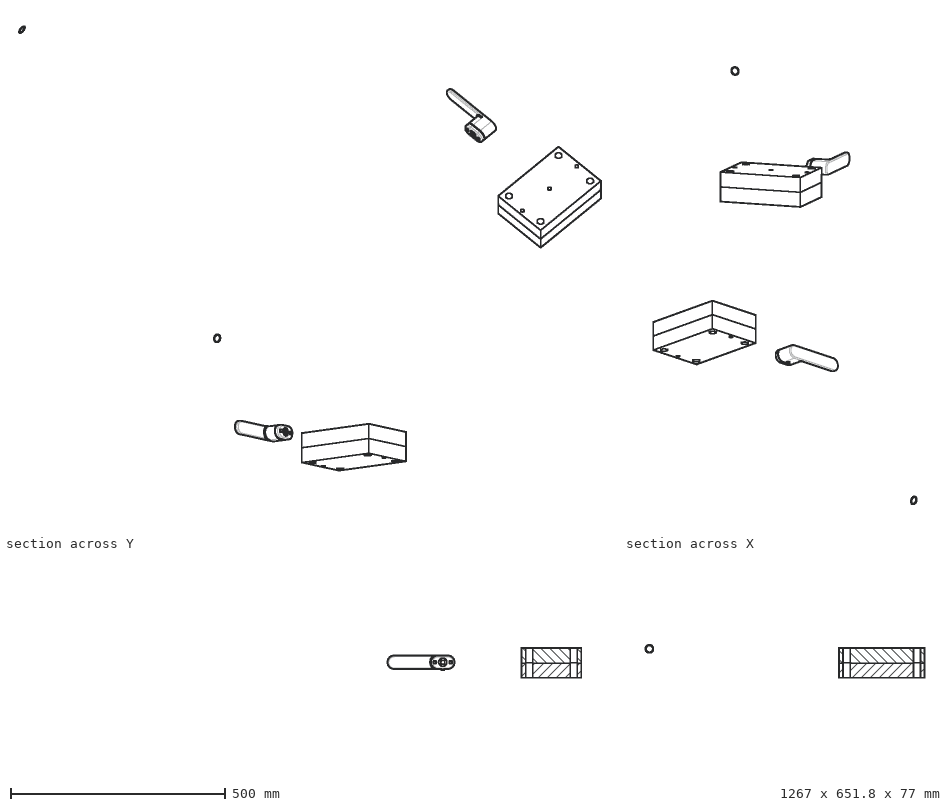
import cadquery as cq


BLOCK_X = 140.0
BLOCK_Y = 200.0
BLOCK_HALF_HEIGHT = 35.0
MOUNT_HOLE_DIAMETER = 16.0
MOUNT_HOLE_INSET = 18.0
DOWEL_HOLE_DIAMETER = 8.0
DOWEL_HOLE_INSET = 10.0
CENTRE_BORE_DIAMETER = 8.0
CENTRE_BORE_DEPTH = 10.0
CENTRE_HOLE_DIAMETER = 4.52

HUB_RADIUS = 16.0
HUB_ARC_SPACING = 23.0
HUB_CENTRE_X = -253.5
HANDLE_Z = 36.3
LEVER_LENGTH = 157.0
LEVER_THICKNESS = 9.0
LEVER_BACK_Y = 52.3
LEVER_EDGE_ROUND = 2.6
HUB_FRONT_Y = 13.0
FOOT_FLARE = 2.5
FOOT_TAPER_ANGLE = 45.0

GASKET_THICKNESS = 1.5
COVER_THICKNESS = 9.5
COVER_EDGE_ROUND = 3.0
SPINDLE_DIAMETER = 19.0
SPINDLE_BORE_DIAMETER = 10.0
SPINDLE_BORE_DEPTH = 5.0
SCREW_HEAD_DIAMETER = 7.54
SCREW_HEAD_HEIGHT = 3.0
SCREW_SHANK_DIAMETER = 4.52
SCREW_SPACING = 37.0

SET_SCREW_DIAMETER = 7.54
SET_SCREW_Y = 18.3
SET_SCREW_DEPTH = 6.0
SET_SCREW_PROTRUSION = 2.5

RING_OUTER_DIAMETER = 19.0
RING_INNER_DIAMETER = 15.88
RING_THICKNESS = 1.0
OVERALL_X = 1266.96
OVERALL_Y = 651.81
OVERALL_Z = 77.0

HUB_LENGTH = HUB_ARC_SPACING + 2 * HUB_RADIUS
LEVER_CENTRE_DX = (HUB_LENGTH - LEVER_LENGTH) / 2
LEVER_FRONT_Y = LEVER_BACK_Y - LEVER_THICKNESS
GASKET_FRONT_Y = HUB_FRONT_Y - GASKET_THICKNESS
COVER_FRONT_Y = GASKET_FRONT_Y - COVER_THICKNESS
STACK_DEPTH = GASKET_THICKNESS + COVER_THICKNESS


def front_plane(y, dx=0.0):
    """Workplane facing -Y at depth y, centred dx to the right of the hub's middle."""
    return cq.Workplane("XZ", origin=(HUB_CENTRE_X + dx, y, HANDLE_Z))


def rod(front_y, depth, diameter, dx=0.0):
    """Cylinder along Y running back from front_y."""
    return front_plane(front_y, dx).circle(diameter / 2).extrude(-depth)


def hub_slab(front_y, depth):
    """Slab with the hub's obround outline running back from front_y."""
    return front_plane(front_y).slot2D(HUB_LENGTH, 2 * HUB_RADIUS).extrude(-depth)


def lever_slab(front_y, depth):
    """Slab with the lever's obround outline running back from front_y."""
    return front_plane(front_y, LEVER_CENTRE_DX).slot2D(LEVER_LENGTH, 2 * HUB_RADIUS).extrude(-depth)


def make_block_half(bottom_z):
    half = cq.Workplane("XY").box(BLOCK_X, BLOCK_Y, BLOCK_HALF_HEIGHT, centered=(True, True, False))
    mount_x = BLOCK_X - 2 * MOUNT_HOLE_INSET
    mount_y = BLOCK_Y - 2 * MOUNT_HOLE_INSET
    half = (
        half.faces(">Z").workplane()
        .rect(mount_x, mount_y, forConstruction=True).vertices()
        .hole(MOUNT_HOLE_DIAMETER)
    )
    dowel_spacing = BLOCK_Y - 2 * DOWEL_HOLE_INSET
    half = half.faces(">Z").workplane().rarray(1, dowel_spacing, 1, 2).hole(DOWEL_HOLE_DIAMETER)
    return half.translate((0, 0, bottom_z))


def make_upper_block():
    half = make_block_half(BLOCK_HALF_HEIGHT)
    return half.faces(">Z").workplane().cboreHole(
        CENTRE_HOLE_DIAMETER, CENTRE_BORE_DIAMETER, CENTRE_BORE_DEPTH
    )


def make_handle():
    lever = lever_slab(LEVER_FRONT_Y, LEVER_THICKNESS)
    lever = lever.faces("<Y or >Y").edges().fillet(LEVER_EDGE_ROUND)
    hub = hub_slab(HUB_FRONT_Y, LEVER_BACK_Y - LEVER_EDGE_ROUND - HUB_FRONT_Y)
    foot = (
        front_plane(LEVER_FRONT_Y)
        .slot2D(HUB_LENGTH + 2 * FOOT_FLARE, 2 * (HUB_RADIUS + FOOT_FLARE))
        .extrude(FOOT_FLARE, taper=FOOT_TAPER_ANGLE)
        .intersect(lever_slab(LEVER_FRONT_Y - FOOT_FLARE, FOOT_FLARE))
    )
    return lever.union(hub).union(foot)


def make_cover():
    return hub_slab(COVER_FRONT_Y, COVER_THICKNESS).faces("<Y").edges().fillet(COVER_EDGE_ROUND)


def make_spindle():
    """Round plug flush with the cover, with a blind bore in its front."""
    plug = rod(COVER_FRONT_Y, STACK_DEPTH, SPINDLE_DIAMETER)
    return plug.cut(rod(COVER_FRONT_Y, SPINDLE_BORE_DEPTH, SPINDLE_BORE_DIAMETER))


def make_cover_screw(dx):
    head = rod(COVER_FRONT_Y - SCREW_HEAD_HEIGHT, SCREW_HEAD_HEIGHT, SCREW_HEAD_DIAMETER, dx)
    return head.union(rod(COVER_FRONT_Y, STACK_DEPTH, SCREW_SHANK_DIAMETER, dx))


def make_set_screw():
    bottom_z = HANDLE_Z - HUB_RADIUS - SET_SCREW_PROTRUSION
    plane = cq.Workplane("XY", origin=(HUB_CENTRE_X, SET_SCREW_Y, bottom_z))
    return plane.circle(SET_SCREW_DIAMETER / 2).extrude(SET_SCREW_PROTRUSION + SET_SCREW_DEPTH)


def make_ring():
    outer_radius = RING_OUTER_DIAMETER / 2
    left_x = BLOCK_X / 2 - OVERALL_X
    centre_y = BLOCK_Y / 2 - OVERALL_Y + outer_radius
    plane = cq.Workplane("YZ", origin=(left_x, centre_y, OVERALL_Z - outer_radius))
    return plane.circle(outer_radius).circle(RING_INNER_DIAMETER / 2).extrude(RING_THICKNESS)


lower_block = make_block_half(0)
upper_block = make_upper_block()
set_screw = make_set_screw()
handle = make_handle().cut(set_screw)

spindle = make_spindle()
gasket = hub_slab(GASKET_FRONT_Y, GASKET_THICKNESS)
cover = make_cover()
spindle_hole = rod(COVER_FRONT_Y, STACK_DEPTH, SPINDLE_DIAMETER)
gasket = gasket.cut(spindle_hole)
cover = cover.cut(spindle_hole)

cover_screws = []
for screw_dx in (-SCREW_SPACING / 2, SCREW_SPACING / 2):
    screw = make_cover_screw(screw_dx)
    gasket = gasket.cut(screw)
    cover = cover.cut(screw)
    cover_screws.append(screw.val())

ring = make_ring()

result = cq.Compound.makeCompound([
    lower_block.val(),
    upper_block.val(),
    handle.val(),
    gasket.val(),
    cover.val(),
    spindle.val(),
    *cover_screws,
    set_screw.val(),
    ring.val(),
])